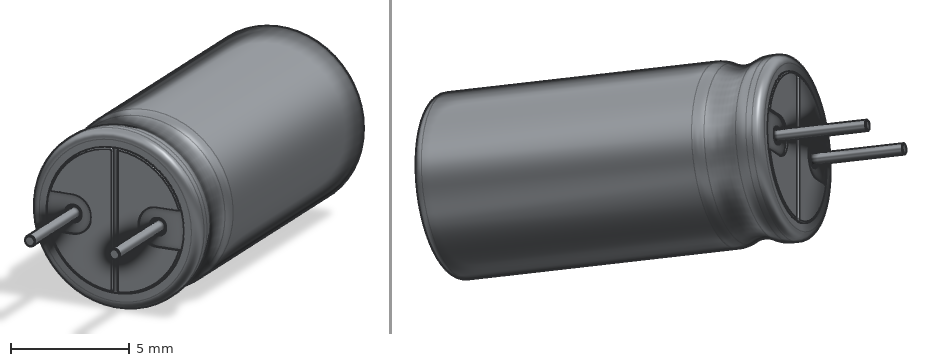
import cadquery as cq
import math

overall_length = 20.1
can_radius = 8.0 / 2
can_length = 16.0
end_round = 0.4

groove_center = 1.93
groove_half_width = 1.25
groove_depth = 0.3
groove_blend_start = 0.72

seal_radius = 6.5 / 2
recess_depth = 0.06
seal_height = 0.1
seal_gap = 0.16
seal_draft = 0.08
seal_corner_round = 0.16
slot_radius = 0.88

lead_diameter = 0.5
lead_spacing = 4.0
lead_tip_chamfer = 0.05
lead_length = overall_length - can_length
lead_hole_diameter = 0.56
lead_hole_depth = 0.1
counterbore_diameter = 0.72
counterbore_depth = 0.1
counterbore_bevel = 0.05


def groove_point(offset):
    """Radius and Y on the groove profile at an axial offset from its centre."""
    radius_sum = (groove_half_width**2 + groove_depth**2) / (2 * groove_depth)
    hollow_radius = radius_sum * groove_blend_start / groove_half_width
    shoulder_radius = radius_sum - hollow_radius
    distance = abs(offset)
    if distance <= groove_blend_start:
        radius = can_radius - groove_depth + hollow_radius - math.sqrt(hollow_radius**2 - distance**2)
    else:
        to_edge = groove_half_width - distance
        radius = can_radius - shoulder_radius + math.sqrt(shoulder_radius**2 - to_edge**2)
    return radius, groove_center + offset


def make_can():
    shoulder_middle = (groove_half_width + groove_blend_start) / 2
    profile = (
        cq.Workplane("XY")
        .lineTo(can_radius, 0)
        .lineTo(*groove_point(-groove_half_width))
        .threePointArc(groove_point(-shoulder_middle), groove_point(-groove_blend_start))
        .threePointArc(groove_point(0), groove_point(groove_blend_start))
        .threePointArc(groove_point(shoulder_middle), groove_point(groove_half_width))
        .lineTo(can_radius, can_length)
        .lineTo(0, can_length)
        .close()
    )
    can = profile.revolve(360, (0, 0, 0), (0, 1, 0))
    return can.faces("<Y or >Y").edges().fillet(end_round)


def cylinder(radius, x, y_start, y_end):
    """Cylinder parallel to Y, running from y_start down to y_end."""
    return cq.Workplane("XZ", origin=(x, y_start, 0)).circle(radius).extrude(y_start - y_end)


def cone(start_radius, end_radius, x, y_start, y_end):
    """Truncated cone parallel to Y, running from y_start down to y_end."""
    base = cq.Vector(x, y_start, 0)
    return cq.Workplane(cq.Solid.makeCone(start_radius, end_radius, y_start - y_end, base, cq.Vector(0, -1, 0)))


def make_seal_half(side):
    gap_edge = seal_gap / 2
    gap_edge_end = math.sqrt(seal_radius**2 - gap_edge**2)
    outline = (
        cq.Sketch()
        .segment((side * gap_edge, -gap_edge_end), (side * gap_edge, gap_edge_end))
        .arc((side * gap_edge, gap_edge_end), (side * seal_radius, 0), (side * gap_edge, -gap_edge_end))
        .assemble()
        .vertices()
        .fillet(seal_corner_round)
    )
    draft_angle = math.degrees(math.atan(seal_draft / seal_height))
    floor = cq.Workplane("XZ", origin=(0, recess_depth, 0))
    half = floor.placeSketch(outline).extrude(seal_height, taper=draft_angle)
    slot_center = side * lead_spacing / 2
    slot_end = cylinder(slot_radius, slot_center, recess_depth, recess_depth - seal_height)
    slot_run = cq.Workplane("XY").box(seal_radius, 2 * seal_height, 2 * slot_radius)
    slot_run = slot_run.translate((slot_center + side * seal_radius / 2, 0, 0))
    return half.cut(slot_end).cut(slot_run)


def make_lead(x):
    bottom = recess_depth + counterbore_depth + lead_hole_depth
    lead = cylinder(lead_diameter / 2, x, bottom, -lead_length)
    return lead.faces("<Y").chamfer(lead_tip_chamfer)


def make_lead_hole(x):
    step = recess_depth + counterbore_depth
    counterbore = cylinder(counterbore_diameter / 2, x, step, recess_depth)
    mouth_radius = counterbore_diameter / 2 + counterbore_bevel
    bevel_end = recess_depth + counterbore_bevel
    bevel = cone(counterbore_diameter / 2, mouth_radius, x, bevel_end, recess_depth)
    clearance = cylinder(lead_hole_diameter / 2, x, step + lead_hole_depth, step)
    return counterbore.union(bevel).union(clearance)


result = make_can().cut(cylinder(seal_radius, 0, recess_depth, 0))
for side in (-1, 1):
    lead_x = side * lead_spacing / 2
    result = result.union(make_seal_half(side))
    result = result.cut(make_lead_hole(lead_x))
    result = result.union(make_lead(lead_x))